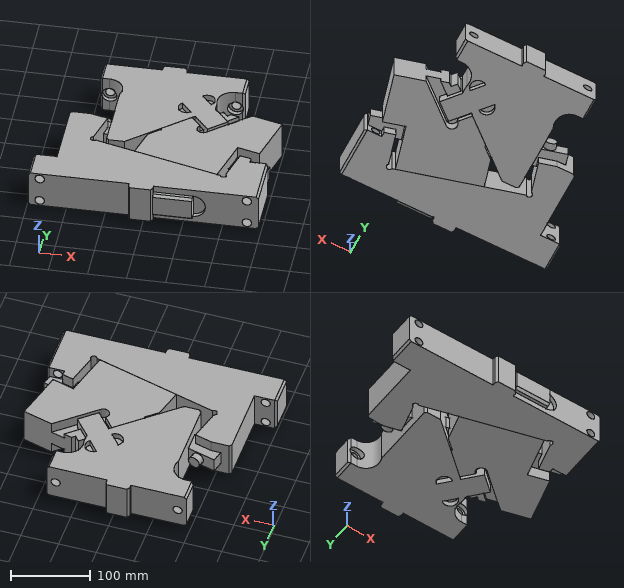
import cadquery as cq
import math


THICKNESS = 50.0
HALF = THICKNESS / 2
EDGE_CHAMFER = 3.0
KEY_CENTRE_X = 144.8
KEY_WIDTH = 31.5
KEY_HEIGHT = 8.3
KEY_CHAMFER_WIDTH = 2.5
KEY_CHAMFER_DEPTH = 4.2

SLIDEWAY_ANGLE = -15
SLIDEWAY_CORNER = (66.7, 83.0)

SLOPE_ANGLE = 40.5
SLOPE_TOP = (209.5, 171.5)

BASE_LENGTH = 295.0
LEDGE_HEIGHT = 40.0
LEDGE_LENGTH = 29.8
LEFT_LUG_HEIGHT = 135.3
RIGHT_LUG_HEIGHT = 71.0
LUG_TOP = 47.7
SLIDEWAY_LENGTH = 184.0
RIGHT_LUG_WIDTH = 15.2
RELIEF_RADIUS = 4.0
RELIEF_OFFSET = 1.8
BOLT_HOLE_DIAMETER = 12.0
BOLT_HOLE_INSET_X = 15.0
BOLT_HOLE_Z = 17.0

BAR_START = -35.8
BAR_END = 220.0
BAR_BOTTOM = 35.0
BAR_TOP = 60.0
BAR_WIDTH = 19.5
SCREW_HEAD_X = -11.5
SCREW_HEAD_DIAMETER = 16.0
SCREW_HEAD_HEIGHT = 9.5

SIDE_KEY_START = KEY_CENTRE_X + KEY_WIDTH / 2
SIDE_KEY_END = 211.0
SIDE_KEY_WIDTH = 32.0
SIDE_KEY_SEAT_DEPTH = 6.0

DRIVER_CENTRE_X = 147.8
FLANGE_LENGTH = 185.3
FLANGE_BOTTOM = 209.8
FLANGE_TOP = 240.5
STEM_LEFT = 85.0
STEM_BOTTOM = 85.2
SCALLOP_RADIUS = 20.0
FLANGE_BOLT_SPACING = 161.5
FLANGE_HOLE_DIAMETER = 12.0
FLANGE_BORE_DIAMETER = 19.7
FLANGE_BORE_DEPTH = 6.0

HOOK_WIDTH = 29.8
HOOK_REACH = 31.0
HOOK_DEPTH = 8.0
LIP_DEPTH = 7.0
TONGUE_REACH = 20.3
SEAT_SIDE_GAP = 4.5
LIP_GROOVE_WIDTH = 15.5
CROSS_SLOT_Y = 21.2
CROSS_SLOT_WIDTH = 21.0

SLIDER_LEFT = 59.5
SLIDER_FOOT_RIGHT = 174.3
SLIDER_RIGHT = 204.7
SLIDER_UNDERCUT = 61.7
SLIDER_TOP = 129.5
SLOPE_RELIEF = 1.8
CONTACT_START = -80.0
STEP_X = 10.7
STEP_DEPTH = 11.0


def tilted_plane(origin, angle, z=0):
    """XY plane at height z, moved to origin and turned by angle."""
    turn = math.radians(angle)
    return cq.Plane(
        origin=(origin[0], origin[1], z),
        xDir=(math.cos(turn), math.sin(turn), 0),
        normal=(0, 0, 1),
    )


def to_global(origin, angle, x, y):
    """XY point of the part for a point (x, y) of a tilted frame."""
    point = tilted_plane(origin, angle).toWorldCoords((x, y, 0))
    return point.x, point.y


def slideway(x, y):
    """XY point from slideway coordinates."""
    return to_global(SLIDEWAY_CORNER, SLIDEWAY_ANGLE, x, y)


def slope(x, y):
    """XY point from slope coordinates."""
    return to_global(SLOPE_TOP, SLOPE_ANGLE, x, y)


def crossing(a, b, c, d):
    """Where line a-b meets line c-d."""
    abx, aby = b[0] - a[0], b[1] - a[1]
    cdx, cdy = d[0] - c[0], d[1] - c[1]
    along = ((c[0] - a[0]) * cdy - (c[1] - a[1]) * cdx) / (abx * cdy - aby * cdx)
    return a[0] + along * abx, a[1] + along * aby


def prism(points):
    """Full-thickness plate with the given XY outline."""
    return cq.Workplane("XY").polyline(points).close().extrude(HALF, both=True)


def box(x0, x1, y0, y1, z0, z1):
    """Axis-aligned block between two opposite corners."""
    block = cq.Workplane("XY").box(x1 - x0, y1 - y0, z1 - z0, centered=False)
    return block.translate((x0, y0, z0))


def slideway_box(x0, x1, y0, y1, width):
    """Block in slideway coordinates, centred through the thickness."""
    plane = tilted_plane(SLIDEWAY_CORNER, SLIDEWAY_ANGLE)
    sketch = cq.Workplane(plane).center((x0 + x1) / 2, (y0 + y1) / 2)
    return sketch.rect(x1 - x0, y1 - y0).extrude(width / 2, both=True)


def on_both_sides(upper):
    """The given shape together with its mirror image about Z = 0."""
    return upper.union(upper.mirror("XY"))


def slope_layer(x0, x1, y0, y1, depth):
    """Slabs in slope coordinates, sunk by depth from both large faces."""
    sketch = cq.Workplane(tilted_plane(SLOPE_TOP, SLOPE_ANGLE, HALF - depth))
    sketch = sketch.center((x0 + x1) / 2, (y0 + y1) / 2).rect(x1 - x0, y1 - y0)
    return on_both_sides(sketch.extrude(depth))


def slope_slot(x0, x1, y, width, depth):
    """Round-ended slots in slope coordinates, sunk by depth from both large faces."""
    sketch = cq.Workplane(tilted_plane(SLOPE_TOP, SLOPE_ANGLE, HALF - depth))
    sketch = sketch.center((x0 + x1) / 2, y).slot2D(x1 - x0 + width, width)
    return on_both_sides(sketch.extrude(depth))


def key_profile(width, foot):
    """Key section as (across, out) points, from foot below its face to the chamfered tip."""
    half_width = width / 2
    tip_half_width = half_width - KEY_CHAMFER_WIDTH
    shoulder = KEY_HEIGHT - KEY_CHAMFER_DEPTH
    return [
        (-half_width, -foot),
        (-half_width, shoulder),
        (-tip_half_width, KEY_HEIGHT),
        (tip_half_width, KEY_HEIGHT),
        (half_width, shoulder),
        (half_width, -foot),
    ]


def key(face_y, outward):
    """Full-thickness locating key on a face at face_y; outward is +1 or -1 along Y."""
    section = key_profile(KEY_WIDTH, 0)
    return prism([(KEY_CENTRE_X + across, face_y + outward * out) for across, out in section])


def y_cylinder(x, z, diameter, y0, y1):
    """Cylinder along Y from y0 to y1."""
    return cq.Workplane("XZ", origin=(x, y0, z)).circle(diameter / 2).extrude(y0 - y1)


def retaining_bar():
    """Bar that rests on both lugs and runs through the slider and the driver's nose."""
    return slideway_box(BAR_START, BAR_END, BAR_BOTTOM, BAR_TOP, BAR_WIDTH)


def screw_head():
    """Head of the screw that holds the bar on the left lug."""
    x, y = slideway(SCREW_HEAD_X, BAR_TOP)
    turn = math.radians(SLIDEWAY_ANGLE)
    axis = cq.Vector(-math.sin(turn), math.cos(turn), 0)
    head = cq.Solid.makeCylinder(SCREW_HEAD_DIAMETER / 2, SCREW_HEAD_HEIGHT, cq.Vector(x, y, 0), axis)
    return cq.Workplane(head)


def side_key():
    """Key beside the base's locating key, standing in its own seat."""
    section = [(-out, across) for across, out in key_profile(SIDE_KEY_WIDTH, SIDE_KEY_SEAT_DEPTH)]
    sketch = cq.Workplane("YZ", origin=(SIDE_KEY_START, 0, 0)).polyline(section).close()
    return sketch.extrude(SIDE_KEY_END - SIDE_KEY_START)


def make_base():
    seat_end = slideway(SLIDEWAY_LENGTH + RIGHT_LUG_WIDTH, LUG_TOP)
    left_lug_corner = slideway(0, LUG_TOP)
    lug_top_start = crossing(
        left_lug_corner,
        slideway(-3, LUG_TOP),
        (0, LEFT_LUG_HEIGHT),
        (BASE_LENGTH, LEFT_LUG_HEIGHT),
    )
    body = prism([
        (0, 0),
        (BASE_LENGTH, 0),
        (BASE_LENGTH, RIGHT_LUG_HEIGHT),
        (seat_end[0], RIGHT_LUG_HEIGHT),
        seat_end,
        slideway(SLIDEWAY_LENGTH, LUG_TOP),
        slideway(SLIDEWAY_LENGTH, 0),
        slideway(0, 0),
        left_lug_corner,
        lug_top_start,
        (LEDGE_LENGTH, LEFT_LUG_HEIGHT),
        (LEDGE_LENGTH, LEDGE_HEIGHT),
        (0, LEDGE_HEIGHT),
    ])
    for end in ("<X", ">X"):
        body = body.faces(end).edges("|Y or >Y").chamfer(EDGE_CHAMFER)
    lug_edge = cq.selectors.NearestToPointSelector((LEDGE_LENGTH, LEFT_LUG_HEIGHT, 0))
    body = body.edges(lug_edge).chamfer(EDGE_CHAMFER)

    for x in (RELIEF_OFFSET, SLIDEWAY_LENGTH - RELIEF_OFFSET):
        relief = cq.Workplane("XY").center(*slideway(x, RELIEF_OFFSET)).circle(RELIEF_RADIUS)
        body = body.cut(relief.extrude(HALF, both=True))

    for x in (BOLT_HOLE_INSET_X, BASE_LENGTH - BOLT_HOLE_INSET_X):
        for z in (-BOLT_HOLE_Z, BOLT_HOLE_Z):
            body = body.cut(y_cylinder(x, z, BOLT_HOLE_DIAMETER, 0, LEFT_LUG_HEIGHT))

    half_width = SIDE_KEY_WIDTH / 2
    seat = box(SIDE_KEY_START, SIDE_KEY_END, 0, SIDE_KEY_SEAT_DEPTH, -half_width, half_width)
    body = body.cut(seat).cut(y_cylinder(SIDE_KEY_END, 0, SIDE_KEY_WIDTH, 0, SIDE_KEY_SEAT_DEPTH))

    body = body.union(key(0, -1)).union(side_key())
    return body.union(retaining_bar()).union(screw_head())


def make_driver():
    left = DRIVER_CENTRE_X - FLANGE_LENGTH / 2
    right = DRIVER_CENTRE_X + FLANGE_LENGTH / 2
    flange = box(left, right, FLANGE_BOTTOM, FLANGE_TOP, -HALF, HALF)
    for end in ("<X", ">X"):
        flange = flange.faces(end).edges("|Y or <Y").chamfer(EDGE_CHAMFER)

    nose = crossing(SLOPE_TOP, slope(-3, 0), (left, STEM_BOTTOM), (right, STEM_BOTTOM))
    stem = prism([
        (STEM_LEFT, FLANGE_BOTTOM),
        (STEM_LEFT, STEM_BOTTOM + EDGE_CHAMFER),
        (STEM_LEFT + EDGE_CHAMFER, STEM_BOTTOM),
        nose,
        SLOPE_TOP,
        (SLOPE_TOP[0], FLANGE_BOTTOM),
    ])
    bolts = [DRIVER_CENTRE_X - FLANGE_BOLT_SPACING / 2, DRIVER_CENTRE_X + FLANGE_BOLT_SPACING / 2]
    scallop_y = FLANGE_BOTTOM - SCALLOP_RADIUS

    web = box(bolts[0], bolts[1], scallop_y, FLANGE_BOTTOM, -HALF, HALF)
    body = flange.union(stem).union(web).union(key(FLANGE_TOP, 1))
    for x in bolts:
        scallop = cq.Workplane("XY").center(x, scallop_y).circle(SCALLOP_RADIUS)
        body = body.cut(scallop.extrude(HALF, both=True))
        body = body.cut(y_cylinder(x, 0, FLANGE_HOLE_DIAMETER, FLANGE_BOTTOM, FLANGE_TOP))
        bore_top = FLANGE_BOTTOM + FLANGE_BORE_DEPTH
        body = body.cut(y_cylinder(x, 0, FLANGE_BORE_DIAMETER, scallop_y, bore_top))

    body = body.cut(slope_slot(-HOOK_WIDTH, 0, CROSS_SLOT_Y, CROSS_SLOT_WIDTH, HOOK_DEPTH))
    hook_root = CROSS_SLOT_Y + CROSS_SLOT_WIDTH / 2
    body = body.union(slope_layer(-HOOK_WIDTH, 0, -HOOK_REACH, hook_root, HOOK_DEPTH))
    lip = slope_layer(-HOOK_WIDTH, 0, -HOOK_REACH, -TONGUE_REACH, HOOK_DEPTH + LIP_DEPTH)
    return body.union(lip).cut(retaining_bar())


def make_slider():
    relief_line = (slope(CONTACT_START, -SLOPE_RELIEF), slope(STEP_X, -SLOPE_RELIEF))
    step_line = (slope(0, -STEP_DEPTH), slope(STEP_X, -STEP_DEPTH))
    left_line = (slideway(SLIDER_LEFT, 0), slideway(SLIDER_LEFT, 3))
    top_line = (slideway(0, SLIDER_TOP), slideway(SLIDER_RIGHT, SLIDER_TOP))
    body = prism([
        left_line[0],
        slideway(SLIDER_FOOT_RIGHT, 0),
        slideway(SLIDER_FOOT_RIGHT, SLIDER_UNDERCUT),
        slideway(SLIDER_RIGHT, SLIDER_UNDERCUT),
        top_line[1],
        crossing(*step_line, *top_line),
        step_line[1],
        relief_line[1],
        slope(0, -SLOPE_RELIEF),
        slope(0, 0),
        slope(CONTACT_START, 0),
        relief_line[0],
        crossing(*relief_line, *left_line),
    ])
    seat_left = -HOOK_WIDTH - SEAT_SIDE_GAP
    seat_right = SLIDER_RIGHT - SLIDER_LEFT
    groove_y = -TONGUE_REACH - LIP_GROOVE_WIDTH / 2
    body = body.cut(slope_layer(seat_left, seat_right, groove_y, 0, HOOK_DEPTH))
    body = body.cut(slope_slot(seat_left, seat_right, groove_y, LIP_GROOVE_WIDTH, HOOK_DEPTH + LIP_DEPTH))
    return body.cut(retaining_bar())


base = make_base()
driver = make_driver()
slider = make_slider()
result = cq.Compound.makeCompound([base.solids().val(), driver.solids().val(), slider.solids().val()])